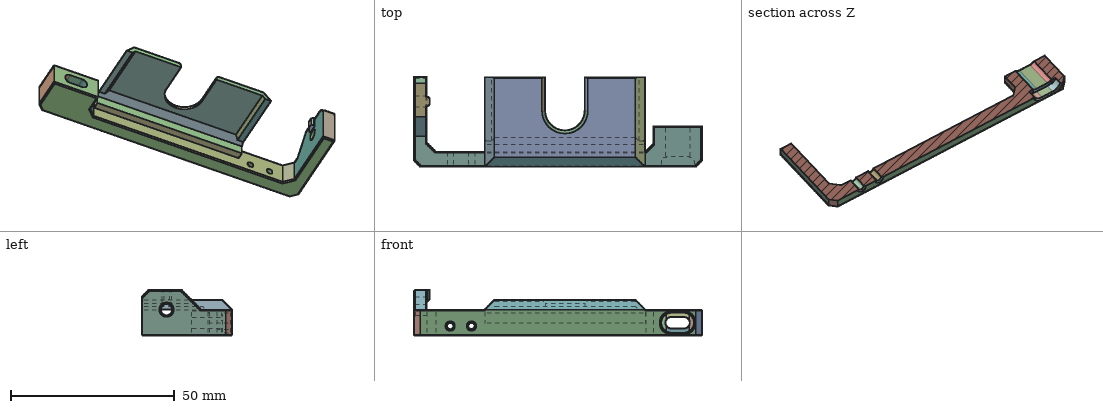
import cadquery as cq
LENGTH = 88.0
DEPTH = 27.5
HEIGHT = 14.0
EDGE_BEVEL = 0.4
OVERLAP = 1.0

RAIL_HEIGHT = 8.0
RAIL_THICK = 4.7
CORNER = 2.0

ARM_THICK = 4.0
ARM_BACK_CORNER = 2.0
ARM_SLOPE_START = 15.4
ARM_GUSSET = 2.7
ARM_HOLE_Y = 20.0
ARM_HOLE_Z = 8.0
ARM_HOLE_DIA = 3.4

NUB_REACH = 0.9
NUB_WIDTH = 3.0
NUB_FULL_HEIGHT = 2.8
NUB_CORNER = 0.6

BLOCK_LENGTH = 15.0
BLOCK_DEPTH = 12.5
BLOCK_GUSSET = 2.3

PLATE_LEFT = 21.6
PLATE_RIGHT = 70.6
PLATE_TOP = 11.0
PLATE_THICK = 2.0
PLATE_RISE = PLATE_TOP - RAIL_HEIGHT
PLATE_BACK = DEPTH - 0.1
WEB_THICK = 7.0

NOTCH_RADIUS = 6.0
NOTCH_X = (PLATE_LEFT + PLATE_RIGHT) / 2
NOTCH_Y = 17.2
NOTCH_BEVEL = 1.0

PIN_DIA = 1.9
PIN_XS = (11.1, 17.6)
PIN_Z = 3.0
HOLE_BEVEL = 0.5
RIM_ANGLE = 45.0

SLOT_X = 80.5
SLOT_Z = RAIL_HEIGHT / 2
SLOT_TRAVEL = 4.0
SLOT_WIDTH = 3.4
BORE_WIDTH = 6.0
BORE_DEPTH = 3.0
STEP_LENGTH = 7.0
STEP_DEPTH = 0.3


def make_frame():
    """L-shaped rail with the upright arm and the end block, edges bevelled."""
    block_left = LENGTH - BLOCK_LENGTH
    base = (
        cq.Workplane("XY")
        .polyline([
            (0, CORNER),
            (CORNER, 0),
            (LENGTH - CORNER, 0),
            (LENGTH, CORNER),
            (LENGTH, BLOCK_DEPTH),
            (block_left, BLOCK_DEPTH),
            (block_left, RAIL_THICK + BLOCK_GUSSET),
            (block_left - BLOCK_GUSSET, RAIL_THICK),
            (ARM_THICK + ARM_GUSSET, RAIL_THICK),
            (ARM_THICK, RAIL_THICK + ARM_GUSSET),
            (ARM_THICK, DEPTH),
            (0, DEPTH),
        ])
        .close()
        .extrude(RAIL_HEIGHT)
    )
    slope_end = ARM_SLOPE_START - (HEIGHT - RAIL_HEIGHT)
    upright = (
        cq.Workplane("YZ")
        .polyline([
            (slope_end, RAIL_HEIGHT),
            (ARM_SLOPE_START, HEIGHT),
            (DEPTH - ARM_BACK_CORNER, HEIGHT),
            (DEPTH, HEIGHT - ARM_BACK_CORNER),
            (DEPTH, RAIL_HEIGHT),
        ])
        .close()
        .extrude(ARM_THICK)
    )
    frame = base.union(upright).clean()
    lower_rims = cq.selectors.BoxSelector(
        (-OVERLAP, -OVERLAP, -OVERLAP),
        (LENGTH + OVERLAP, DEPTH + OVERLAP, OVERLAP),
    )
    upper_rims = cq.selectors.BoxSelector(
        (-OVERLAP, -OVERLAP, RAIL_HEIGHT - OVERLAP),
        (LENGTH + OVERLAP, DEPTH + OVERLAP, HEIGHT + OVERLAP),
    )
    across_arm = cq.selectors.BoxSelector(
        (ARM_THICK / 4, RAIL_THICK + ARM_GUSSET, RAIL_HEIGHT - OVERLAP),
        (ARM_THICK * 3 / 4, DEPTH + OVERLAP, HEIGHT + OVERLAP),
    )
    edges = frame.edges(lower_rims + (upper_rims - across_arm))
    return edges.chamfer(EDGE_BEVEL)


def make_nub():
    """Tapered key on the arm's inner face, level with the arm's top."""
    tip = ARM_THICK + NUB_REACH
    root = ARM_THICK / 2
    half = NUB_WIDTH / 2
    plan = (
        cq.Workplane("XY")
        .polyline([
            (root, -half),
            (tip - NUB_CORNER, -half),
            (tip, NUB_CORNER - half),
            (tip, half - NUB_CORNER),
            (tip - NUB_CORNER, half),
            (root, half),
        ])
        .close()
        .extrude(HEIGHT)
        .translate((0, ARM_HOLE_Y, 0))
    )
    tip_bottom = HEIGHT - NUB_FULL_HEIGHT
    side = (
        cq.Workplane("XZ", origin=(0, ARM_HOLE_Y + NUB_WIDTH, 0))
        .polyline([
            (root, HEIGHT),
            (tip, HEIGHT),
            (tip, tip_bottom),
            (ARM_THICK, tip_bottom - NUB_REACH),
            (root, tip_bottom - NUB_REACH),
        ])
        .close()
        .extrude(2 * NUB_WIDTH)
    )
    return plan.intersect(side)


def sloped_block(left, right, front, back, bottom, rise):
    """Block whose left, right and front sides lean inward at 45 degrees."""
    across = (
        cq.Workplane("XZ", origin=(0, back, 0))
        .polyline([
            (left, bottom),
            (right, bottom),
            (right - rise, bottom + rise),
            (left + rise, bottom + rise),
        ])
        .close()
        .extrude(back - front)
    )
    along = (
        cq.Workplane("YZ", origin=(left, 0, 0))
        .polyline([
            (front, bottom),
            (back, bottom),
            (back, bottom + rise),
            (front + rise, bottom + rise),
        ])
        .close()
        .extrude(right - left)
    )
    return across.intersect(along)


def make_plate():
    """Raised plate with sloping sides, hollow below, on a thickened rail."""
    plate = sloped_block(PLATE_LEFT, PLATE_RIGHT, 0, PLATE_BACK, RAIL_HEIGHT, PLATE_RISE)
    plate = plate.faces(">Y").edges(">Z").chamfer(EDGE_BEVEL)
    ceiling = PLATE_TOP - PLATE_THICK
    cavity_rise = ceiling - RAIL_HEIGHT
    cavity = sloped_block(
        PLATE_LEFT + PLATE_THICK,
        PLATE_RIGHT - PLATE_THICK,
        WEB_THICK + cavity_rise,
        PLATE_BACK + OVERLAP,
        RAIL_HEIGHT,
        cavity_rise,
    )
    web_middle = RAIL_HEIGHT / 2
    web = (
        cq.Workplane("YZ", origin=(PLATE_LEFT, 0, 0))
        .polyline([
            (0, web_middle),
            (WEB_THICK, web_middle),
            (WEB_THICK, RAIL_HEIGHT - cavity_rise),
            (WEB_THICK + cavity_rise, RAIL_HEIGHT),
            (0, RAIL_HEIGHT),
        ])
        .close()
        .extrude(PLATE_RIGHT - PLATE_LEFT)
    )
    return plate.cut(cavity).union(web)


def notch_outline(bottom):
    """U-shaped sketch at the given height, open toward the back."""
    open_end = DEPTH + OVERLAP
    return (
        cq.Workplane("XY", origin=(NOTCH_X, 0, bottom))
        .moveTo(-NOTCH_RADIUS, open_end)
        .lineTo(-NOTCH_RADIUS, NOTCH_Y)
        .threePointArc((0, NOTCH_Y - NOTCH_RADIUS), (NOTCH_RADIUS, NOTCH_Y))
        .lineTo(NOTCH_RADIUS, open_end)
        .close()
    )


def make_notch():
    """U-shaped opening with a 45 degree bevel at its upper rim."""
    through = notch_outline(RAIL_HEIGHT).extrude(PLATE_RISE)
    rim = notch_outline(PLATE_TOP - NOTCH_BEVEL).extrude(NOTCH_BEVEL, taper=-RIM_ANGLE)
    return through.union(rim)


def bevelled_hole(entry, diameter, depth):
    """Round cutter starting at the entry plane, with a countersunk rim there."""
    bore = entry.circle(diameter / 2).extrude(depth)
    rim = entry.circle(diameter / 2 + HOLE_BEVEL).extrude(HOLE_BEVEL, taper=RIM_ANGLE)
    return bore.union(rim)


def make_pin_hole(x):
    """Small hole through the rail, countersunk at the front."""
    entry = cq.Workplane("ZX", origin=(x, 0, PIN_Z))
    return bevelled_hole(entry, PIN_DIA, RAIL_THICK)


def make_arm_hole():
    """Hole through the arm, countersunk on the outside."""
    entry = cq.Workplane("YZ", origin=(0, ARM_HOLE_Y, ARM_HOLE_Z))
    return bevelled_hole(entry, ARM_HOLE_DIA, ARM_THICK + NUB_REACH)


def slot_prism(width, depth, taper=0):
    """Rounded slot cutter along X, sunk into the front face of the block."""
    entry = cq.Workplane("ZX", origin=(SLOT_X, 0, SLOT_Z))
    upright = 90
    return entry.slot2D(SLOT_TRAVEL + width, width, upright).extrude(depth, taper=taper)


def make_slot():
    """Slot through the block with a bevelled counterbore and a shallow step in its floor."""
    through = slot_prism(SLOT_WIDTH, BLOCK_DEPTH)
    bore = slot_prism(BORE_WIDTH, BORE_DEPTH)
    rim = slot_prism(BORE_WIDTH + 2 * HOLE_BEVEL, HOLE_BEVEL, RIM_ANGLE)
    step_depth = BORE_DEPTH + STEP_DEPTH
    band = (
        cq.Workplane("ZX", origin=(SLOT_X, 0, SLOT_Z))
        .rect(BORE_WIDTH, STEP_LENGTH)
        .extrude(step_depth)
    )
    step = slot_prism(BORE_WIDTH, step_depth).intersect(band)
    return through.union(bore).union(rim).union(step)


result = make_frame().union(make_nub()).union(make_plate())
result = result.cut(make_notch()).cut(make_arm_hole()).cut(make_slot())
for pin_x in PIN_XS:
    result = result.cut(make_pin_hole(pin_x))